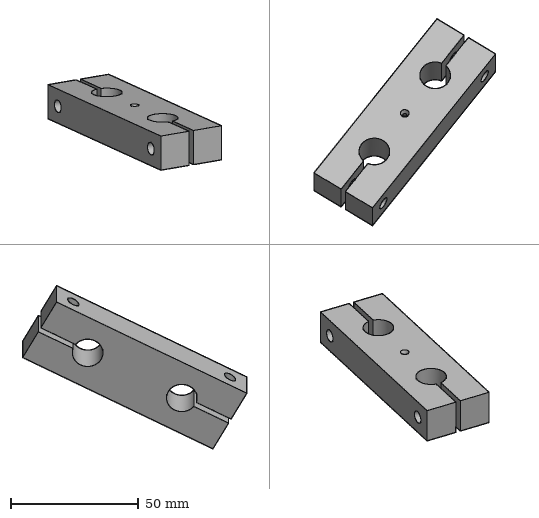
import cadquery as cq
import math

LENGTH = 85.0
WIDTH = 28.0
HEIGHT = 14.0

BORE_DIAMETER = 12.0
BORE_SPACING = 42.0
SLIT_WIDTH = 2.0

SCREW_HOLE_DIAMETER = 5.0
SCREW_HOLE_SPACING = 70.0

MOUTH_DIAMETER = 3.35
MOUTH_ANGLE = 60.0
PILOT_DIAMETER = 1.6
PILOT_DEPTH = 3.5
PILOT_POINT_ANGLE = 120.0


def make_block():
    return cq.Workplane("XY").box(LENGTH, WIDTH, HEIGHT)


def clamping_bore(side):
    """Vertical bore with its slit running out to the end on the given side (-1 or +1)."""
    bore_x = side * BORE_SPACING / 2
    end_x = side * LENGTH / 2
    bore = cq.Workplane("XY").center(bore_x, 0).circle(BORE_DIAMETER / 2).extrude(HEIGHT / 2, both=True)
    slit = (
        cq.Workplane("XY")
        .center((bore_x + end_x) / 2, 0)
        .box(abs(end_x - bore_x), SLIT_WIDTH, HEIGHT)
    )
    return bore.union(slit)


def screw_hole(side):
    """Hole along Y that crosses the slit on the given side (-1 or +1)."""
    return (
        cq.Workplane("XZ")
        .center(side * SCREW_HOLE_SPACING / 2, 0)
        .circle(SCREW_HOLE_DIAMETER / 2)
        .extrude(WIDTH / 2, both=True)
    )


def cone_height(radius_change, included_angle):
    return radius_change / math.tan(math.radians(included_angle / 2))


def centre_hole():
    """Conical mouth in the top face, narrowing to a pilot with a pointed bottom."""
    mouth_radius = MOUTH_DIAMETER / 2
    pilot_radius = PILOT_DIAMETER / 2
    top_z = HEIGHT / 2
    mouth_end_z = top_z - cone_height(mouth_radius - pilot_radius, MOUTH_ANGLE)
    pilot_end_z = top_z - PILOT_DEPTH
    tip_z = pilot_end_z - cone_height(pilot_radius, PILOT_POINT_ANGLE)
    half_profile = [
        (0, top_z),
        (mouth_radius, top_z),
        (pilot_radius, mouth_end_z),
        (pilot_radius, pilot_end_z),
        (0, tip_z),
    ]
    return cq.Workplane("XZ").polyline(half_profile).close().revolve(360, (0, 0, 0), (0, 1, 0))


result = make_block().cut(centre_hole())
for side in (-1, 1):
    result = result.cut(clamping_bore(side)).cut(screw_hole(side))